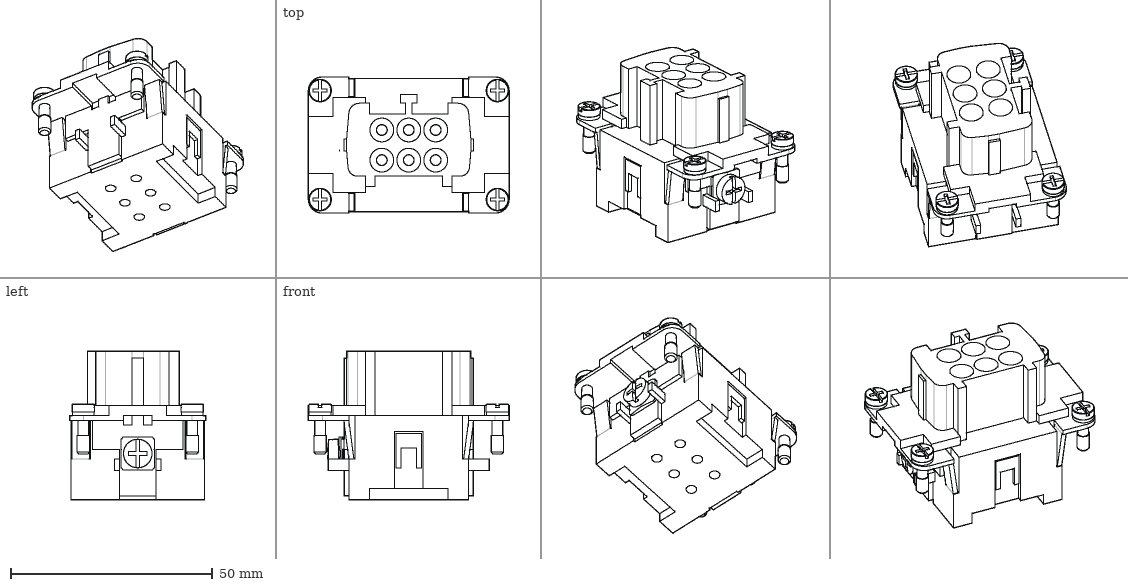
import cadquery as cq

LENGTH = 50.0
WIDTH = 33.9
HEIGHT = 37.0
CUT_MARGIN = 0.5

BODY_HALF_X = 14.9
BODY_HALF_Y = 16.6
BODY_TOP = 21.0
CHANNEL_HALF_X = 9.8
CHANNEL_HEIGHT = 2.9
CHANNEL_DEPTH = 5.0

SLAB_FACE_X = 16.1
SLAB_STEM_HALF_Y = 4.5
SLAB_STEM_BOTTOM = 1.0
STEM_RECESS_DEPTH = 0.5
SLAB_BAR_HALF_Y = 11.2
SLAB_BAR_BOTTOM = 12.6
POCKET_INNER_Y = 1.4
POCKET_BOTTOM = 18.7
POCKET_DEPTH = 0.5

WINDOW_HALF_X = 3.5
WINDOW_TOP = 17.0
WINDOW_DEPTH = 1.2
CLIP_HALF_X = 3.2
CLIP_BOTTOM = 8.0
CLIP_TOP = 16.5
CLIP_THICKNESS = 0.95
CLIP_SLOT_HALF_X = 1.95
CLIP_SLOT_TOP = 12.95

BRACKET_THICKNESS = 1.25
BRACKET_BOTTOM = BODY_TOP - BRACKET_THICKNESS
BRACKET_INNER_Y = 3.5
BRACKET_CORNER_RADIUS = 3.5
NOTCH_FLOOR_X = 13.4
NOTCH_INNER_Y = 11.8
NOTCH_BOTTOM = 10.2
LEG_CLEARANCE = 0.25
LEG_WIDTH = 4.35
LEG_TIP_X = BODY_HALF_X - BRACKET_THICKNESS

SCREW_X = 22.05
SCREW_Y = 13.55
HEAD_RADIUS = 2.8
HEAD_BOTTOM = 21.9
HEAD_TOP = 23.85
HEAD_CHAMFER = 0.15
COLLAR_RADIUS = 2.7
SHANK_RADIUS = 1.35
THREAD_RADIUS = 1.55
THREAD_TOP = 16.0
THREAD_BOTTOM = 11.9
TIP_RADIUS = 1.1
TIP_BOTTOM = 11.4
SCREW_SLOT_WIDTH = 0.8
SCREW_SLOT_DEPTH = 0.85
SCREW_CROSS_HALF = 1.75

FLANGE_TOP = 23.5
FLANGE_INNER_X = 10.8
FLANGE_HALF_Y = 11.85
FLANGE_STEP_X = 18.8
FLANGE_END_HALF_Y = 7.1

TOWER_FRONT_Y = -7.75
TOWER_BACK_Y = 10.4
TOWER_HALF_X = 15.45
TOWER_FLAT_HALF_Y = 1.45
TOWER_END_SLOPE = 1 / 12
TOWER_FRONT_RADIUS = 2.4
TOWER_BACK_RADIUS = 2.65
RECESS_HALF_X = 9.8
RECESS_FLOOR_Y = 7.75
FOOT_OUTER_X = FLANGE_INNER_X
FOOT_INNER_X = 8.45
FOOT_FRONT_Y = -10.35
KEY_STEM_HALF_X = 0.75
KEY_HEAD_HALF_X = 2.0
KEY_HEAD_Y = 10.45
KEY_BACK_Y = 12.55
END_RIB_HALF_Y = TOWER_FLAT_HALF_Y
END_RIB_TOP = 35.25

CONTACT_PITCH_X = 6.7
CONTACT_PITCH_Y = 7.5
CONTACT_BORE_RADIUS = 2.95
CONTACT_BORE_DEPTH = HEIGHT - BODY_TOP
CONTACT_HOLE_RADIUS = 1.3

ARM_END_X = 20.05
ARM_OUTER_Y = 5.75
ARM_BOTTOM = 7.3
ARM_TOP = 10.2
EARTH_Z = 11.55
EARTH_HEAD_RADIUS = 3.55
EARTH_HEAD_INNER_X = 17.5
EARTH_HEAD_RIM_X = 19.9
EARTH_HEAD_CROWN_X = 20.2
EARTH_STUD_RADIUS = 2.0
EARTH_SLOT_WIDTH = 0.95
EARTH_SLOT_DEPTH = 1.0
EARTH_CROSS_HALF = 2.35
CLAMP_HALF_SIDE = 4.15
CLAMP_INNER_X = 16.4
CLAMP_EDGE_X = 16.85
CLAMP_RIDGE_X = 17.4
CLAMP_CHAMFER = 0.6

SIGNS = (-1, 1)


def block(x0, x1, y0, y1, z0, z1):
    """Box between two opposite corners, given in any order."""
    size = (abs(x1 - x0), abs(y1 - y0), abs(z1 - z0))
    return cq.Workplane("XY").box(*size).translate(((x0 + x1) / 2, (y0 + y1) / 2, (z0 + z1) / 2))


def centred_block(half_x, half_y, z0, z1):
    """Box centred on the Z axis."""
    return block(-half_x, half_x, -half_y, half_y, z0, z1)


def make_housing():
    """Lower block with end slabs, a channel under each long wall and four corner notches."""
    housing = centred_block(BODY_HALF_X, BODY_HALF_Y, 0, BODY_TOP)
    for sx in SIGNS:
        for sy in SIGNS:
            housing = housing.cut(block(
                sx * NOTCH_FLOOR_X, sx * (BODY_HALF_X + CUT_MARGIN),
                sy * NOTCH_INNER_Y, sy * (BODY_HALF_Y + CUT_MARGIN),
                NOTCH_BOTTOM, BODY_TOP + CUT_MARGIN,
            ))
    housing = housing.union(centred_block(SLAB_FACE_X, SLAB_STEM_HALF_Y, SLAB_STEM_BOTTOM, BODY_TOP))
    housing = housing.union(centred_block(SLAB_FACE_X, SLAB_BAR_HALF_Y, SLAB_BAR_BOTTOM, BODY_TOP))
    for sx in SIGNS:
        for sy in SIGNS:
            housing = housing.cut(block(
                sx * (SLAB_FACE_X - POCKET_DEPTH), sx * (SLAB_FACE_X + CUT_MARGIN),
                sy * POCKET_INNER_Y, sy * BRACKET_INNER_Y,
                POCKET_BOTTOM, BODY_TOP,
            ))
        housing = housing.cut(block(
            sx * (BODY_HALF_X - STEM_RECESS_DEPTH), sx * (BODY_HALF_X + CUT_MARGIN),
            -SLAB_STEM_HALF_Y, SLAB_STEM_HALF_Y,
            -CUT_MARGIN, SLAB_STEM_BOTTOM,
        ))
    for sy in SIGNS:
        housing = housing.cut(block(
            -CHANNEL_HALF_X, CHANNEL_HALF_X,
            sy * (BODY_HALF_Y - CHANNEL_DEPTH), sy * (BODY_HALF_Y + CUT_MARGIN),
            -CUT_MARGIN, CHANNEL_HEIGHT,
        ))
    return housing


def add_latch_window(housing, sy):
    """Cut a window into one long wall and leave a raised U-shaped clip in it."""
    floor_y = BODY_HALF_Y - WINDOW_DEPTH
    clip_face_y = floor_y + CLIP_THICKNESS
    window = block(
        -WINDOW_HALF_X, WINDOW_HALF_X,
        sy * floor_y, sy * (BODY_HALF_Y + CUT_MARGIN),
        CHANNEL_HEIGHT - CUT_MARGIN, WINDOW_TOP,
    )
    clip = block(-CLIP_HALF_X, CLIP_HALF_X, sy * floor_y, sy * clip_face_y, CLIP_BOTTOM, CLIP_TOP)
    slot = block(
        -CLIP_SLOT_HALF_X, CLIP_SLOT_HALF_X,
        sy * floor_y, sy * clip_face_y,
        CLIP_BOTTOM, CLIP_SLOT_TOP,
    )
    return housing.cut(window).union(clip.cut(slot))


def make_bracket():
    """Bracket of the +X +Y corner: flat plate plus the leg sloping into the notch."""
    plate = block(BODY_HALF_X, LENGTH / 2, BRACKET_INNER_Y, WIDTH / 2, BRACKET_BOTTOM, BODY_TOP)
    plate = plate.edges("|Z and >X and >Y").fillet(BRACKET_CORNER_RADIUS)
    leg_start_y = NOTCH_INNER_Y + LEG_CLEARANCE
    leg = (
        cq.Workplane("XZ", origin=(0, leg_start_y, 0))
        .moveTo(BODY_HALF_X, BODY_TOP)
        .lineTo(BODY_HALF_X + BRACKET_THICKNESS, BODY_TOP)
        .lineTo(BODY_HALF_X + BRACKET_THICKNESS, BRACKET_BOTTOM)
        .lineTo(BODY_HALF_X, NOTCH_BOTTOM)
        .lineTo(LEG_TIP_X, NOTCH_BOTTOM)
        .lineTo(BODY_HALF_X, BRACKET_BOTTOM)
        .close()
        .extrude(-LEG_WIDTH)
    )
    return plate.union(leg)


def make_screw():
    """Mounting screw standing on the Z axis, with a cross slot in its head."""
    screw = (
        cq.Workplane("XZ")
        .moveTo(0, TIP_BOTTOM)
        .lineTo(TIP_RADIUS, TIP_BOTTOM)
        .lineTo(THREAD_RADIUS, THREAD_BOTTOM)
        .lineTo(THREAD_RADIUS, THREAD_TOP)
        .lineTo(SHANK_RADIUS, THREAD_TOP)
        .lineTo(SHANK_RADIUS, BODY_TOP)
        .lineTo(COLLAR_RADIUS, BODY_TOP)
        .lineTo(COLLAR_RADIUS, HEAD_BOTTOM)
        .lineTo(HEAD_RADIUS, HEAD_BOTTOM)
        .lineTo(HEAD_RADIUS, HEAD_TOP - HEAD_CHAMFER)
        .lineTo(HEAD_RADIUS - HEAD_CHAMFER, HEAD_TOP)
        .lineTo(0, HEAD_TOP)
        .close()
        .revolve(360, (0, 0, 0), (0, 1, 0))
    )
    slot_floor = HEAD_TOP - SCREW_SLOT_DEPTH
    slot_top = HEAD_TOP + CUT_MARGIN
    long_slot = centred_block(SCREW_SLOT_WIDTH / 2, HEAD_RADIUS + CUT_MARGIN, slot_floor, slot_top)
    cross_slot = centred_block(SCREW_CROSS_HALF, SCREW_SLOT_WIDTH / 2, slot_floor, slot_top)
    return screw.cut(long_slot).cut(cross_slot)


def make_flange(sx):
    """Flange on one end, narrowed at its outer end to clear the screw heads."""
    inner = block(
        sx * FLANGE_INNER_X, sx * FLANGE_STEP_X,
        -FLANGE_HALF_Y, FLANGE_HALF_Y,
        BODY_TOP, FLANGE_TOP,
    )
    outer = block(
        sx * FLANGE_STEP_X, sx * LENGTH / 2,
        -FLANGE_END_HALF_Y, FLANGE_END_HALF_Y,
        BODY_TOP, FLANGE_TOP,
    )
    return inner.union(outer)


def make_tower():
    """Contact tower with tapered ends, a back recess with a T key, feet and end ribs."""
    front_corner_x = TOWER_HALF_X - TOWER_END_SLOPE * (-TOWER_FRONT_Y - TOWER_FLAT_HALF_Y)
    back_corner_x = TOWER_HALF_X - TOWER_END_SLOPE * (TOWER_BACK_Y - TOWER_FLAT_HALF_Y)
    half_outline = [
        (front_corner_x, TOWER_FRONT_Y),
        (TOWER_HALF_X, -TOWER_FLAT_HALF_Y),
        (TOWER_HALF_X, TOWER_FLAT_HALF_Y),
        (back_corner_x, TOWER_BACK_Y),
    ]
    mirrored_half = [(-x, y) for x, y in reversed(half_outline)]
    tower = (
        cq.Workplane("XY", origin=(0, 0, BODY_TOP))
        .polyline(half_outline + mirrored_half)
        .close()
        .extrude(HEIGHT - BODY_TOP)
    )
    tower = tower.edges("|Z and <Y").fillet(TOWER_FRONT_RADIUS)
    tower = tower.edges("|Z and >Y").fillet(TOWER_BACK_RADIUS)
    recess = block(
        -RECESS_HALF_X, RECESS_HALF_X,
        RECESS_FLOOR_Y, TOWER_BACK_Y + CUT_MARGIN,
        BODY_TOP, HEIGHT,
    )
    key_stem = block(-KEY_STEM_HALF_X, KEY_STEM_HALF_X, RECESS_FLOOR_Y, KEY_HEAD_Y, BODY_TOP, HEIGHT)
    key_head = block(-KEY_HEAD_HALF_X, KEY_HEAD_HALF_X, KEY_HEAD_Y, KEY_BACK_Y, BODY_TOP, HEIGHT)
    tower = tower.cut(recess).union(key_stem).union(key_head)
    for sx in SIGNS:
        tower = tower.union(block(
            sx * FOOT_INNER_X, sx * FOOT_OUTER_X,
            FOOT_FRONT_Y, TOWER_FRONT_Y,
            BODY_TOP, HEIGHT,
        ))
    return tower.union(centred_block(SLAB_FACE_X, END_RIB_HALF_Y, BODY_TOP, END_RIB_TOP))


def make_contact_holes():
    """Stepped through holes for the contacts: wide from the top, narrow below."""
    spots = (CONTACT_PITCH_X, CONTACT_PITCH_Y, 3, 2)
    bores = (
        cq.Workplane("XY", origin=(0, 0, HEIGHT))
        .rarray(*spots)
        .circle(CONTACT_BORE_RADIUS)
        .extrude(-CONTACT_BORE_DEPTH)
    )
    holes = cq.Workplane("XY").rarray(*spots).circle(CONTACT_HOLE_RADIUS).extrude(HEIGHT)
    return bores.union(holes)


def make_guard_arms():
    """Pairs of arms that stand out on both sides of each end slab."""
    arms = cq.Workplane("XY")
    for sx in SIGNS:
        for sy in SIGNS:
            arms = arms.add(block(
                sx * BODY_HALF_X, sx * ARM_END_X,
                sy * SLAB_STEM_HALF_Y, sy * ARM_OUTER_Y,
                ARM_BOTTOM, ARM_TOP,
            ))
    return arms.combine()


def make_earth_terminal():
    """Domed cross-slot screw and V-faced clamping plate, backed against the -X slab."""
    clamp = (
        cq.Workplane("XY", origin=(0, 0, EARTH_Z - CLAMP_HALF_SIDE))
        .moveTo(-CLAMP_INNER_X, -CLAMP_HALF_SIDE)
        .lineTo(-CLAMP_EDGE_X, -CLAMP_HALF_SIDE)
        .lineTo(-CLAMP_RIDGE_X, 0)
        .lineTo(-CLAMP_EDGE_X, CLAMP_HALF_SIDE)
        .lineTo(-CLAMP_INNER_X, CLAMP_HALF_SIDE)
        .close()
        .extrude(2 * CLAMP_HALF_SIDE)
    )
    chamfered_square = (
        cq.Workplane("YZ", origin=(-CLAMP_RIDGE_X, 0, EARTH_Z))
        .rect(2 * CLAMP_HALF_SIDE, 2 * CLAMP_HALF_SIDE)
        .extrude(CLAMP_RIDGE_X - CLAMP_INNER_X)
        .edges("|X")
        .chamfer(CLAMP_CHAMFER)
    )
    stud = (
        cq.Workplane("YZ", origin=(-EARTH_HEAD_INNER_X, 0, EARTH_Z))
        .circle(EARTH_STUD_RADIUS)
        .extrude(EARTH_HEAD_INNER_X - CLAMP_INNER_X)
    )
    backing = block(
        -CLAMP_INNER_X, -SLAB_FACE_X,
        -CLAMP_HALF_SIDE, CLAMP_HALF_SIDE,
        SLAB_BAR_BOTTOM, EARTH_Z + CLAMP_HALF_SIDE - CLAMP_CHAMFER,
    )
    dome_rise = EARTH_HEAD_CROWN_X - EARTH_HEAD_RIM_X
    dome_radius = (EARTH_HEAD_RADIUS**2 + dome_rise**2) / (2 * dome_rise)
    head = (
        cq.Workplane("XY", origin=(0, 0, EARTH_Z))
        .moveTo(-EARTH_HEAD_INNER_X, 0)
        .lineTo(-EARTH_HEAD_INNER_X, EARTH_HEAD_RADIUS)
        .lineTo(-EARTH_HEAD_RIM_X, EARTH_HEAD_RADIUS)
        .radiusArc((-EARTH_HEAD_CROWN_X, 0), -dome_radius)
        .close()
        .revolve(360, (0, 0, 0), (1, 0, 0))
    )
    slot_floor_x = -EARTH_HEAD_RIM_X + EARTH_SLOT_DEPTH
    slot_open_x = -EARTH_HEAD_CROWN_X - CUT_MARGIN
    half_slot = EARTH_SLOT_WIDTH / 2
    long_slot = block(
        slot_open_x, slot_floor_x,
        -half_slot, half_slot,
        EARTH_Z - EARTH_HEAD_RADIUS, EARTH_Z + EARTH_HEAD_RADIUS,
    )
    cross_slot = block(
        slot_open_x, slot_floor_x,
        -EARTH_CROSS_HALF, EARTH_CROSS_HALF,
        EARTH_Z - half_slot, EARTH_Z + half_slot,
    )
    head = head.cut(long_slot).cut(cross_slot)
    return clamp.intersect(chamfered_square).union(backing).union(stud).union(head)


result = make_housing()
for side_y in SIGNS:
    result = add_latch_window(result, side_y)

bracket = make_bracket()
bracket_pair = bracket.union(bracket.mirror("XZ"))
result = result.union(bracket_pair).union(bracket_pair.mirror("YZ"))

for side_x in SIGNS:
    result = result.union(make_flange(side_x))
    for side_y in SIGNS:
        result = result.union(make_screw().translate((side_x * SCREW_X, side_y * SCREW_Y, 0)))

result = result.union(make_tower()).cut(make_contact_holes())
result = result.union(make_guard_arms()).union(make_earth_terminal())